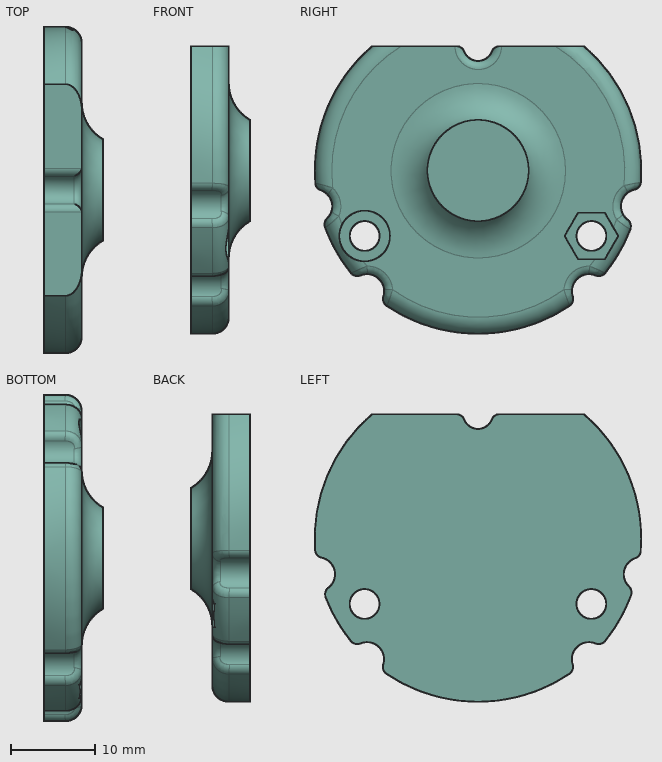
import cadquery as cq
import math

plate_radius = 19.345
plate_thickness = 4.5
rim_fillet = 2.0
plate_height = 34.08
flat_z = plate_height - plate_radius

hump_height = 2.5
hump_top_radius = 6.0
hump_flare_radius = 5.0

hole_angle = -30.0
hole_circle_radius = 15.5
hole_diameter = 3.5
counterbore_diameter = 6.0
nut_across_flats = 5.5
nut_turn = 30.0
recess_depth = 3.0
recess_floor_x = plate_thickness - recess_depth

rim_notch_diameter = 4.0
flat_notch_diameter = 3.5
notch_spread = 17.4
notch_centre_radius = 19.4
notch_fillet = 1.0
key_notch_shift = 0.34

clearance = 0.1


def polar(radius, angle):
    """Y and Z of a point at an angle in degrees from the +Y axis."""
    return radius * math.cos(math.radians(angle)), radius * math.sin(math.radians(angle))


def yz_plane(x, y=0, z=0):
    """Sketch plane facing +X, centred on the given point."""
    return cq.Workplane("YZ", origin=(x, y, z))


def make_disc():
    disc = yz_plane(0).circle(plate_radius).extrude(plate_thickness)
    disc = disc.faces(">X").edges().fillet(rim_fillet)
    above_flat = yz_plane(0, 0, flat_z + plate_radius / 2).rect(2 * plate_radius, plate_radius)
    return disc.cut(above_flat.extrude(plate_thickness))


def cut_notch(body, y, z, diameter):
    """Cut a round notch and round its mouth, leaving the edge on the plate's back sharp."""
    body = body.cut(yz_plane(0, y, z).circle(diameter / 2).extrude(plate_thickness))
    reach = diameter / 2 + 2 * clearance
    mouth = cq.selectors.BoxSelector(
        (clearance, y - reach, z - reach),
        (plate_thickness + clearance, y + reach, z + reach),
    )
    return body.edges(mouth).fillet(notch_fillet)


def cut_notches(body):
    body = cut_notch(body, 0, flat_z, flat_notch_diameter)
    upper_y, upper_z = polar(notch_centre_radius, hole_angle + notch_spread)
    lower_y, lower_z = polar(notch_centre_radius, hole_angle - notch_spread)
    rim_notches = [
        (upper_y, upper_z),
        (-upper_y - key_notch_shift, upper_z),
        (lower_y, lower_z),
        (-lower_y, lower_z),
    ]
    for y, z in rim_notches:
        body = cut_notch(body, y, z, rim_notch_diameter)
    return body


def cut_holes(body):
    hole_y, hole_z = polar(hole_circle_radius, hole_angle)
    for y in (-hole_y, hole_y):
        body = body.cut(yz_plane(0, y, hole_z).circle(hole_diameter / 2).extrude(plate_thickness))
    counterbore = yz_plane(recess_floor_x, -hole_y, hole_z).circle(counterbore_diameter / 2)
    nut_pocket = (
        yz_plane(recess_floor_x, hole_y, hole_z)
        .transformed(rotate=(0, 0, nut_turn))
        .polygon(6, nut_across_flats, circumscribed=True)
    )
    for recess in (counterbore, nut_pocket):
        body = body.cut(recess.extrude(recess_depth))
    return body


def make_hump():
    """Revolve a concave arc that starts tangent to the plate's front face."""
    flare_angle = math.acos(1 - hump_height / hump_flare_radius)
    base_radius = hump_top_radius + hump_flare_radius * math.sin(flare_angle)
    top_x = plate_thickness + hump_height
    mid_flare = (
        plate_thickness + hump_flare_radius * (1 - math.cos(flare_angle / 2)),
        base_radius - hump_flare_radius * math.sin(flare_angle / 2),
    )
    profile = (
        cq.Workplane("XY")
        .moveTo(plate_thickness, 0)
        .lineTo(plate_thickness, base_radius)
        .threePointArc(mid_flare, (top_x, hump_top_radius))
        .lineTo(top_x, 0)
        .close()
    )
    return profile.revolve(360, (0, 0, 0), (1, 0, 0))


cover = cut_holes(cut_notches(make_disc())).union(make_hump())

result = cq.Compound.makeCompound([cover.val()])